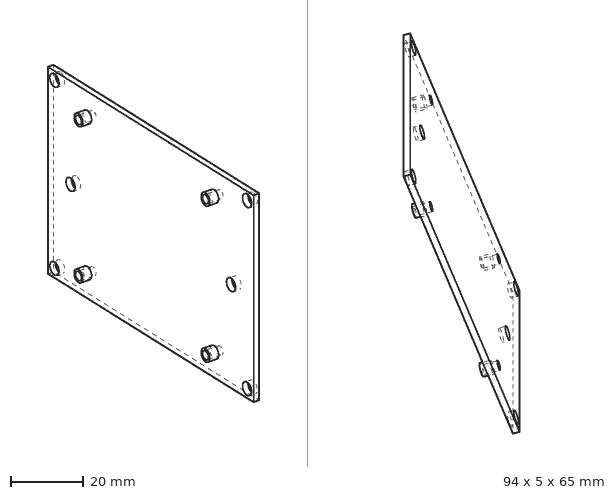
import cadquery as cq

plate_width = 94
plate_height = 65.0
total_depth = 5.0
plate_thickness = 2.0
standoff_length = total_depth - plate_thickness

hole_diameter = 4.0
corner_spacing_x = 88.0
corner_spacing_z = 59.0
side_spacing_x = 73.3

standoff_diameter = 4.0
bore_diameter = 2.7
standoff_spacing_x = 58.0
standoff_spacing_z = 49.0


def rectangle_corners(width, height):
    """Corner points of a rectangle centred on the plate."""
    return [(sx * width / 2, sz * height / 2) for sx in (-1, 1) for sz in (-1, 1)]


def cylinders(points, diameter, length):
    """Cylinders running from the front face of the plate at y = 0; positive length goes toward -Y."""
    return cq.Workplane("XZ").pushPoints(points).circle(diameter / 2).extrude(length)


corner_points = rectangle_corners(corner_spacing_x, corner_spacing_z)
side_points = [(-side_spacing_x / 2, 0), (side_spacing_x / 2, 0)]
standoff_points = rectangle_corners(standoff_spacing_x, standoff_spacing_z)

plate = cq.Workplane("XZ").rect(plate_width, plate_height).extrude(-plate_thickness)
plate = plate.cut(cylinders(corner_points + side_points, hole_diameter, -plate_thickness))

result = plate.union(cylinders(standoff_points, standoff_diameter, standoff_length))
result = result.cut(cylinders(standoff_points, bore_diameter, standoff_length))
result = result.cut(cylinders(standoff_points, bore_diameter, -plate_thickness))